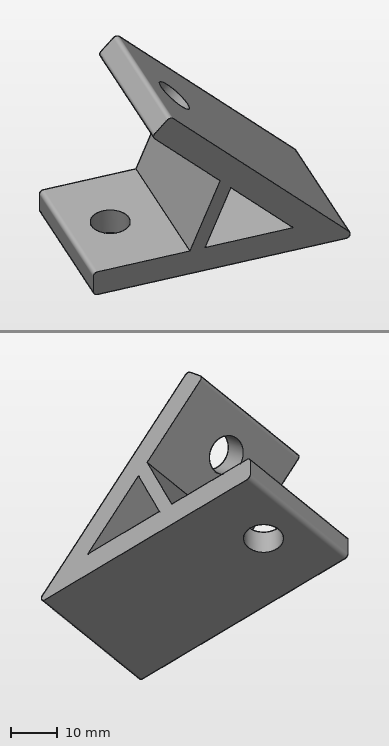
import cadquery as cq
import math

WIDTH = 32.0
ARM_LENGTH = 60.0
ARM_THICKNESS = 6.0
ARM_ANGLE = 45.0
EDGE_RADIUS = 1.0
STRUT_OUTER_REACH = 37.95
STRUT_WIDTH = 3.45
HOLE_DIAMETER = 8.5
HOLE_FROM_END = 10.0

angle = math.radians(ARM_ANGLE)
inner_corner_reach = ARM_THICKNESS / math.tan(angle / 2)
strut_inner_reach = STRUT_OUTER_REACH - STRUT_WIDTH
hole_reach = ARM_LENGTH - HOLE_FROM_END


def base_point(reach, height):
    """(Y, Z) of a point on the base arm; its free end lies at Y = 0."""
    return (ARM_LENGTH - reach, height)


def leg_point(reach, depth):
    """(Y, Z) of a point on the inclined arm, at a depth below its outer face."""
    y = ARM_LENGTH - reach * math.cos(angle) - depth * math.sin(angle)
    z = reach * math.sin(angle) - depth * math.cos(angle)
    return (y, z)


def prism(points):
    """Extrude a Y-Z outline across the full width, centred on X = 0."""
    return cq.Workplane("YZ").polyline(points).close().extrude(WIDTH / 2, both=True)


def make_body():
    """Two arms joined at the apex, with the outer corners rounded."""
    body = prism([
        base_point(0, 0),
        base_point(ARM_LENGTH, 0),
        base_point(ARM_LENGTH, ARM_THICKNESS),
        base_point(inner_corner_reach, ARM_THICKNESS),
        leg_point(ARM_LENGTH, ARM_THICKNESS),
        leg_point(ARM_LENGTH, 0),
    ])
    edges_across_width = cq.selectors.StringSyntaxSelector("|X")
    inner_corner = cq.selectors.NearestToPointSelector(
        (0, *base_point(inner_corner_reach, ARM_THICKNESS)))
    return body.edges(edges_across_width - inner_corner).fillet(EDGE_RADIUS)


def make_strut():
    """Brace leaning equally against the inner faces of both arms."""
    return prism([
        base_point(STRUT_OUTER_REACH, ARM_THICKNESS),
        base_point(strut_inner_reach, ARM_THICKNESS),
        leg_point(strut_inner_reach, ARM_THICKNESS),
        leg_point(STRUT_OUTER_REACH, ARM_THICKNESS),
    ])


def arm_hole(arm_point):
    """Cylinder through one arm, from its outer face to its inner face."""
    start = cq.Vector(0, *arm_point(hole_reach, 0))
    direction = cq.Vector(0, *arm_point(hole_reach, ARM_THICKNESS)) - start
    return cq.Solid.makeCylinder(HOLE_DIAMETER / 2, ARM_THICKNESS, start, direction)


result = make_body().union(make_strut())
for arm_point in (base_point, leg_point):
    result = result.cut(arm_hole(arm_point))